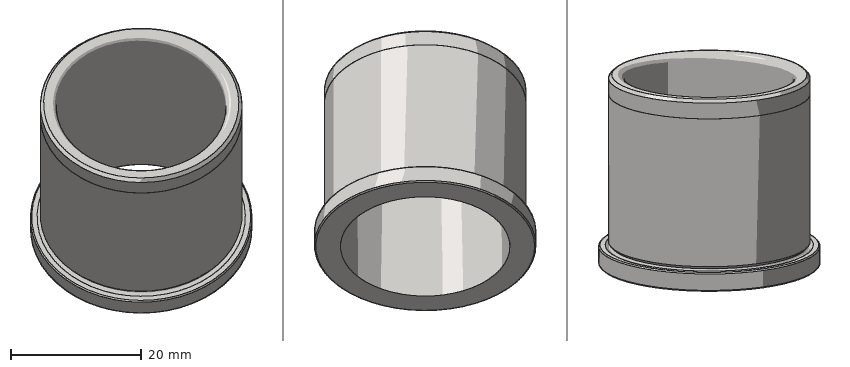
import cadquery as cq
import math

total_height = 30.0
bore_radius = 13.0
body_radius = 15.5
flange_radius = 17.0
flange_height = 3.0

flange_chamfer = 0.2
mouth_radius = 1.0
lead_chamfer = 0.5

lead_height = 3.0
lead_relief = 0.02

undercut_height = 0.57
undercut_width = 0.48
undercut_depth = 0.43
corner_radius = 0.33
ramp_angle = math.radians(28)


def half_section():
    """Closed half profile; local x is the radius and local y is the height."""
    lead_radius = body_radius - lead_relief
    lead_bottom = total_height - lead_height

    neck_radius = body_radius - undercut_depth
    undercut_top = flange_height + undercut_height
    ramp_outer_radius = body_radius + undercut_width

    center_r = neck_radius + corner_radius
    ramp_inner_radius = center_r + corner_radius * math.sin(ramp_angle)
    ramp_bottom = flange_height - (ramp_outer_radius - ramp_inner_radius) * math.tan(ramp_angle)
    center_z = ramp_bottom + corner_radius * math.cos(ramp_angle)

    return (
        cq.Workplane("XZ")
        .moveTo(bore_radius, 0)
        .lineTo(flange_radius - flange_chamfer, 0)
        .lineTo(flange_radius, flange_chamfer)
        .lineTo(flange_radius, flange_height - flange_chamfer)
        .lineTo(flange_radius - flange_chamfer, flange_height)
        .lineTo(ramp_outer_radius, flange_height)
        .lineTo(ramp_inner_radius, ramp_bottom)
        .radiusArc((neck_radius, center_z), corner_radius)
        .lineTo(neck_radius, undercut_top - undercut_depth)
        .lineTo(body_radius, undercut_top)
        .lineTo(body_radius, lead_bottom)
        .lineTo(lead_radius, lead_bottom)
        .lineTo(lead_radius, total_height - lead_chamfer)
        .lineTo(lead_radius - lead_chamfer, total_height)
        .lineTo(bore_radius + mouth_radius, total_height)
        .radiusArc((bore_radius, total_height - mouth_radius), -mouth_radius)
        .close()
    )


result = half_section().revolve(360, (0, 0, 0), (0, 1, 0))